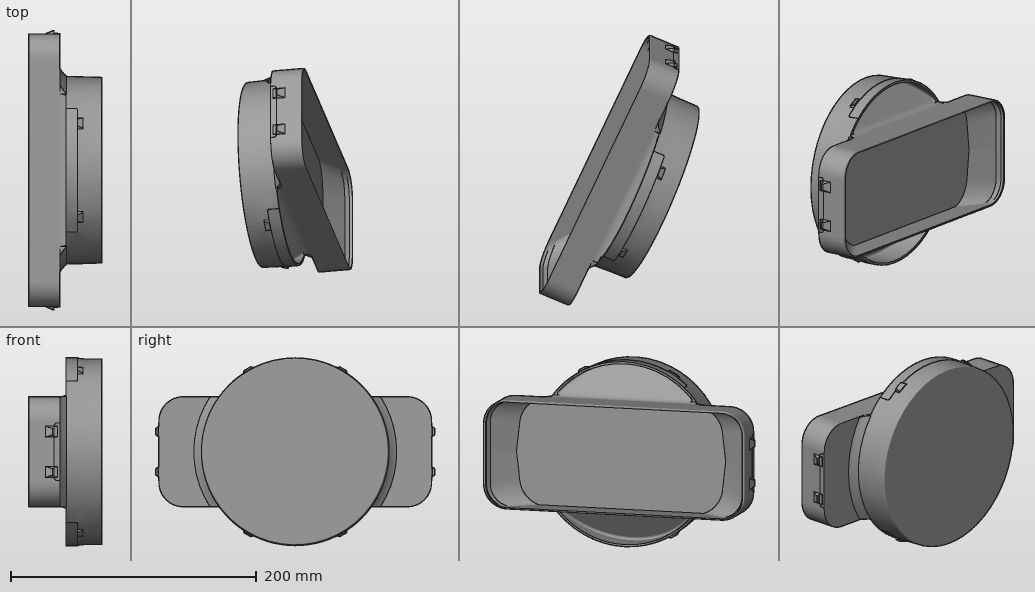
import cadquery as cq
import math

socket_width = 222.0
socket_height = 89.7
socket_length = 25.5
socket_corner_radius = 20.0
edge_radius = 0.5

end_wall_thickness = 2.0
long_wall_thickness = 1.3
lip_depth = 2.5
mouth_depth = 5.8
mouth_inset = 2.2
floor_depth = 20.0
floor_half_width = 88.8
floor_shoulder_y = 86.2
floor_shoulder_z = 22.5
floor_corner_y = 70.0
floor_corner_bulge = 0.66

total_length = 59.55
collar_start = 30.2
collar_radius = 76.45
collar_end_radius = 75.6
collar_inner_radius = 74.7

neck_radius = 82.5
neck_kink_x = 27.4
neck_kink_radius = 80.0
neck_end = 30.8
neck_corner_radius = 18.0
slope_angle = 51.5
slope_blend_radius = 8.6
slope_blend_start = 25.9
hollow_fillet = 1.6

hook_offset_z = 16.4
hook_start = 13.7
hook_peak_start = 19.6
hook_peak_end = 20.7
hook_end = 23.6
hook_base_width = 9.0
hook_top_width = 5.0
hook_height = 2.5
hook_heel_height = 0.6
end_pad_width = 46.4
end_pad_thickness = 0.2
end_pad_chamfer = 1.5

pad_end = 39.9
pad_half_width = 50.2
pad_corner_radius = 1.5
lug_angle = 30.0
lug_length = 4.3
lug_base_width = 12.0
lug_top_width = 6.4
lug_top_radius = 78.0
lug_base_radius = 75.0

half_width = socket_width / 2
half_height = socket_height / 2
hook_root = half_width - end_wall_thickness / 2


def revolved(points):
    """Turn a closed outline of (x, radius) points about the X axis."""
    return cq.Workplane("XY").polyline(points).close().revolve(360, (0, 0, 0), (1, 0, 0))


def rounded_outline(x, half_y, half_z, radius):
    """Rounded rectangle on the plane at x, with a vertex in the middle of each end."""
    diagonal = radius * (1 - math.sqrt(0.5))
    return funnel_outline(x, half_y, half_y, half_z - radius, half_y - radius, half_z,
                          (half_y - diagonal, half_z - diagonal))


def funnel_outline(x, point_y, shoulder_y, shoulder_z, corner_y, half_z, mid):
    """Closed wire: two pointed ends, four corner arcs through mid, two long sides."""
    mid_y, mid_z = mid
    outline = (
        cq.Workplane("YZ", origin=(x, 0, 0))
        .moveTo(point_y, 0)
        .lineTo(shoulder_y, shoulder_z)
        .threePointArc((mid_y, mid_z), (corner_y, half_z))
        .lineTo(-corner_y, half_z)
        .threePointArc((-mid_y, mid_z), (-shoulder_y, shoulder_z))
        .lineTo(-point_y, 0)
        .lineTo(-shoulder_y, -shoulder_z)
        .threePointArc((-mid_y, -mid_z), (-corner_y, -half_z))
        .lineTo(corner_y, -half_z)
        .threePointArc((mid_y, -mid_z), (shoulder_y, -shoulder_z))
        .close()
    )
    return outline.val()


def make_socket():
    """Solid block with rounded corners and a rounded open end."""
    block = cq.Workplane("YZ").rect(socket_width, socket_height).extrude(socket_length)
    block = block.edges("|X").fillet(socket_corner_radius)
    return block.faces("<X").edges().fillet(edge_radius)


def make_pocket():
    """Straight lip, tapered mouth and funnel down to the flat floor."""
    inner_y = half_width - end_wall_thickness
    inner_z = half_height - long_wall_thickness
    inner_radius = socket_corner_radius - end_wall_thickness
    mouth = rounded_outline(0, inner_y, inner_z, inner_radius)
    lip = rounded_outline(lip_depth, inner_y, inner_z, inner_radius)
    throat = rounded_outline(mouth_depth, inner_y - mouth_inset, inner_z, inner_radius)
    floor_mid = (
        floor_corner_y + floor_corner_bulge * (floor_shoulder_y - floor_corner_y),
        floor_shoulder_z + floor_corner_bulge * (inner_z - floor_shoulder_z),
    )
    floor = funnel_outline(floor_depth, floor_half_width, floor_shoulder_y, floor_shoulder_z,
                           floor_corner_y, inner_z, floor_mid)
    return cq.Workplane(cq.Solid.makeLoft([mouth, lip, throat, floor], True))


def make_collar():
    """Solid cone with a rounded rear edge, before the hollows are cut."""
    return revolved([
        (collar_start, 0), (collar_start, collar_radius),
        (total_length, collar_end_radius), (total_length, 0),
    ]).faces(">X").edges().fillet(edge_radius)


def make_neck():
    """Flare from the socket's back face in to the collar, no taller than the socket."""
    flare = revolved([
        (socket_length, 0), (socket_length, neck_radius),
        (neck_kink_x, neck_kink_radius),
        (neck_end, collar_radius), (neck_end, 0),
    ])
    envelope = (
        cq.Workplane("YZ")
        .rect(2 * neck_radius, socket_height)
        .extrude(neck_end)
        .edges("|X").fillet(neck_corner_radius)
    )
    return flare.intersect(envelope)


def make_flanks():
    """Body whose top and bottom blend from the socket into sloping flats."""
    angle = math.radians(slope_angle)
    half = angle / 2
    mid = (slope_blend_start + slope_blend_radius * math.sin(half),
           half_height + slope_blend_radius * (1 - math.cos(half)))
    end = (slope_blend_start + slope_blend_radius * math.sin(angle),
           half_height + slope_blend_radius * (1 - math.cos(angle)))
    rise = (total_length - end[0]) * math.tan(angle)
    flank_top = end[1] + rise
    return (
        cq.Workplane("XZ", origin=(0, neck_radius, 0))
        .moveTo(socket_length, half_height)
        .lineTo(slope_blend_start, half_height)
        .threePointArc(mid, end)
        .lineTo(total_length, flank_top)
        .lineTo(total_length, -flank_top)
        .lineTo(end[0], -end[1])
        .threePointArc((mid[0], -mid[1]), (slope_blend_start, -half_height))
        .lineTo(socket_length, -half_height)
        .close()
        .extrude(2 * neck_radius)
    )


def make_flank_feet():
    """Part of the flanks lying between the socket and the collar."""
    foot = (
        cq.Workplane("YZ", origin=(socket_length, 0, 0))
        .circle(collar_radius)
        .extrude(collar_start - socket_length)
    )
    return foot.intersect(make_flanks())


def make_hollows():
    """Space inside the collar edge, above and below the sloping flats."""
    bore = (
        cq.Workplane("YZ", origin=(socket_length, 0, 0))
        .circle(collar_inner_radius)
        .extrude(total_length - socket_length)
    )
    hollows = bore.cut(make_flanks())
    flank_start = slope_blend_start + slope_blend_radius * math.sin(math.radians(slope_angle))
    on_wall_and_flank = cq.selectors.BoxSelector(
        (flank_start, -collar_radius, -collar_radius),
        (total_length, collar_radius, collar_radius),
    )
    return hollows.edges(on_wall_and_flank).fillet(hollow_fillet)


def make_hooks():
    """Two ramped hooks and a thin pad on each end face of the socket."""
    side_shape = [
        (hook_start, half_width), (hook_peak_start, half_width + hook_height),
        (hook_peak_end, half_width + hook_height),
        (hook_peak_end, half_width + hook_heel_height),
        (hook_end, half_width + hook_heel_height), (hook_end, hook_root),
        (hook_start, hook_root),
    ]
    wedge = cq.Workplane("XY").polyline(side_shape).close().extrude(hook_base_width / 2, both=True)
    tapered = (
        cq.Workplane("YZ")
        .polyline([
            (hook_root, -hook_base_width / 2),
            (half_width, -hook_base_width / 2),
            (half_width + hook_height, -hook_top_width / 2),
            (half_width + hook_height, hook_top_width / 2),
            (half_width, hook_base_width / 2),
            (hook_root, hook_base_width / 2),
        ])
        .close()
        .extrude(socket_length)
    )
    hook = wedge.intersect(tapered)
    pad_length = socket_length - hook_peak_end
    pad = (
        cq.Workplane("XY")
        .box(pad_length, end_wall_thickness, end_pad_width, centered=(False, False, True))
        .edges("<X and |Y").chamfer(end_pad_chamfer)
        .translate((hook_peak_end, half_width + end_pad_thickness - end_wall_thickness, 0))
    )
    one_end = pad
    for side in (1, -1):
        one_end = one_end.union(hook.translate((0, 0, side * hook_offset_z)))
    return one_end.union(one_end.mirror("XZ"))


def make_collar_pads():
    """Cylindrical strips standing slightly proud of the conical collar, top and bottom."""
    ring = revolved([
        (collar_start, collar_inner_radius), (collar_start, collar_radius),
        (pad_end, collar_radius), (pad_end, collar_inner_radius),
    ])
    footprint = (
        cq.Workplane("XY")
        .box(pad_end - collar_start, 2 * pad_half_width, 2 * collar_radius, centered=(False, True, True))
        .edges(">X and |Z").fillet(pad_corner_radius)
        .translate((collar_start, 0, 0))
    )
    return ring.intersect(footprint)


def make_lugs():
    """Four lugs that step up behind the pads and ramp back down to the collar."""
    lug = (
        cq.Workplane("YZ", origin=(pad_end, 0, 0))
        .polyline([
            (-lug_base_width / 2, lug_base_radius), (-lug_top_width / 2, lug_top_radius),
            (lug_top_width / 2, lug_top_radius), (lug_base_width / 2, lug_base_radius),
        ])
        .close()
        .extrude(lug_length)
    )
    ramp = (
        cq.Workplane("XZ", origin=(0, lug_base_width / 2, 0))
        .polyline([
            (pad_end, lug_base_radius), (pad_end, lug_top_radius),
            (pad_end + lug_length, collar_radius), (pad_end + lug_length, lug_base_radius),
        ])
        .close()
        .extrude(lug_base_width)
    )
    lug = lug.intersect(ramp)
    lugs = cq.Workplane("XY")
    for angle in (lug_angle, -lug_angle, 180 - lug_angle, 180 + lug_angle):
        lugs = lugs.add(lug.rotate((0, 0, 0), (1, 0, 0), angle))
    return lugs.combine()


collar = make_collar().union(make_collar_pads()).union(make_lugs()).cut(make_hollows())
neck = make_neck().union(make_flank_feet())
result = make_socket().union(neck).union(collar).union(make_hooks()).cut(make_pocket())